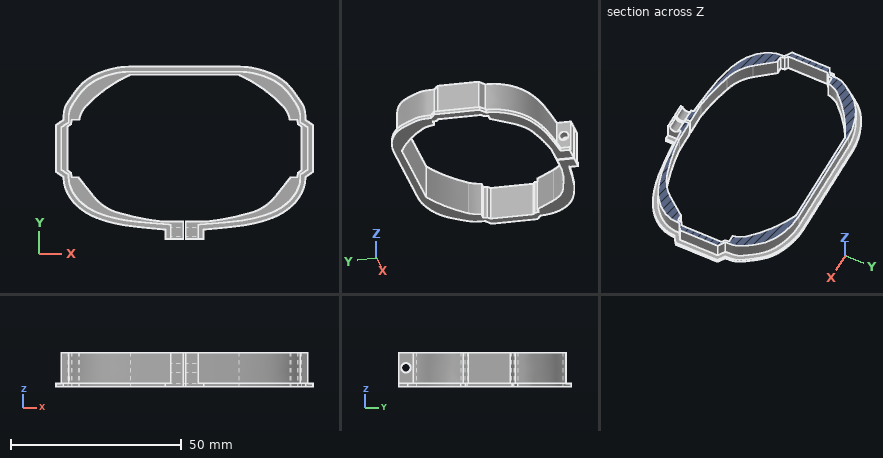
import cadquery as cq
import math

length = 75.3
height = 10.0
flange_thickness = 1.0
flange_width = 1.5

back_y = 24.0
back_half_length = 15.9
shoulder_x = 35.45
shoulder_y = 8.35
bump_half_width = 6.85
bump_slant_shift = 0.7
back_corner = [(23.3, 22.7, 71), (29.7, 19.2, 50), (33.95, 13.85, 26)]
front_corner = [(34.1, -13.4, -25), (29.35, -18.45, -54), (23.85, -21.0, -71), (17.0, -22.6, -80)]
front_end = (5.6, -23.8)

opening_back_y = 21.5
opening_end_x = 34.2
opening_end_half_width = 6.4
notch_x = 33.2
notch_half_width = 7.15
ledge_x = 33.0
back_ledge_x = 30.8
back_pad_middle = (22.9, 17.55)
back_pad_joint = (29.2, 12.0)
back_pad_end_middle = (30.2, 10.3)
front_ledge_x = 31.1
front_pad_slant_end = (26.5, -14.15)
front_pad_middle = (23.2, -17.1)
front_pad_joint = (19.0, -18.9)
front_pad_end_middle = (13.55, -20.25)
opening_front_x = 6.9
opening_front_y = -21.3

clamp_front_y = -26.5
clamp_half_width = front_end[0] - flange_width
clamp_gap = 0.6
screw_diameter = 2.7
screw_y = -24.4
screw_z = 5.6


def moved_in(corner_point, inset):
    """Move a point of a rounded corner inward along its normal."""
    x, y, normal = corner_point
    angle = math.radians(normal)
    return (x - inset * math.cos(angle), y - inset * math.sin(angle))


def inset_corner(corner, inset):
    """Move all points of a rounded corner inward."""
    return [moved_in(corner_point, inset) for corner_point in corner]


def outer_half(inset):
    """Right half of the outer outline, moved inward by inset, without the clamp."""
    half_length = length / 2 - inset
    flat_half_width = bump_half_width - bump_slant_shift * inset / flange_width
    side_x = shoulder_x - inset
    side_y = shoulder_y - inset / 2
    end_x = front_end[0] - inset
    end_y = front_end[1] + inset
    return (
        cq.Workplane("XY")
        .moveTo(0, back_y - inset)
        .lineTo(back_half_length, back_y - inset)
        .spline(
            inset_corner(back_corner, inset) + [(side_x, side_y)],
            tangents=[(1, 0), (0, -1)],
            includeCurrent=True,
        )
        .lineTo(half_length, flat_half_width)
        .lineTo(half_length, -flat_half_width)
        .lineTo(side_x, -side_y)
        .spline(inset_corner(front_corner, inset) + [(end_x, end_y)], includeCurrent=True)
        .lineTo(0, end_y)
        .close()
    )


def opening_half():
    """Right half of the inner opening, closed along the YZ plane."""
    return (
        cq.Workplane("XY")
        .moveTo(0, opening_back_y)
        .lineTo(back_half_length, opening_back_y)
        .threePointArc(back_pad_middle, back_pad_joint)
        .threePointArc(back_pad_end_middle, (back_ledge_x, shoulder_y))
        .lineTo(ledge_x, shoulder_y)
        .lineTo(notch_x, notch_half_width)
        .lineTo(opening_end_x, opening_end_half_width)
        .lineTo(opening_end_x, -opening_end_half_width)
        .lineTo(notch_x, -notch_half_width)
        .lineTo(ledge_x, -shoulder_y)
        .lineTo(front_ledge_x, -shoulder_y)
        .lineTo(*front_pad_slant_end)
        .threePointArc(front_pad_middle, front_pad_joint)
        .threePointArc(front_pad_end_middle, (opening_front_x, opening_front_y))
        .lineTo(0, opening_front_y)
        .close()
    )


def both_sides(half):
    """Join a right half to its mirror image."""
    return half.union(half.mirror("YZ"))


def clamp_block(half_width, block_height):
    """Block from the opening to the clamp face, centred on the YZ plane."""
    depth = opening_front_y - clamp_front_y
    return (
        cq.Workplane("XY")
        .box(2 * half_width, depth, block_height, centered=(True, False, False))
        .translate((0, clamp_front_y, 0))
    )


flange = both_sides(outer_half(0).extrude(flange_thickness))
wall = both_sides(outer_half(flange_width).extrude(height))
opening = both_sides(opening_half().extrude(height))
ring = flange.union(wall).cut(opening)

clamp = clamp_block(clamp_half_width, height).union(clamp_block(front_end[0], flange_thickness))
gap = clamp_block(clamp_gap / 2, height)
screw_hole = (
    cq.Workplane("YZ", origin=(0, screw_y, screw_z))
    .circle(screw_diameter / 2)
    .extrude(clamp_half_width, both=True)
)

result = ring.union(clamp).cut(gap).cut(screw_hole)